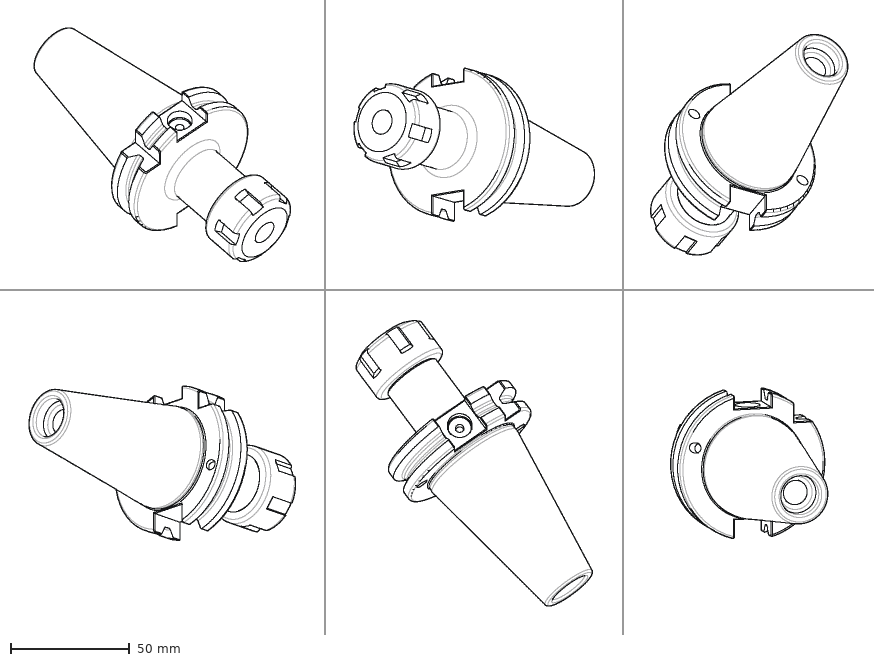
import cadquery as cq
import math


overall_length = 133.6
taper_length = 68.7
collar_start = 70.1
flange_start = 71.5
flange_end = 87.5
nut_start = 114.5

gauge_radius = 22.2
taper_slope = 7 / 48
small_end_radius = gauge_radius - taper_slope * taper_length
small_end_fillet = 1.0
collar_radius = 22.0
collar_fillet = 0.5
neck_radius = 12.5
neck_fillet = 3.0
neck_end_chamfer = 0.7

drill_cone_angle = math.radians(59)

bore_radius = 5.2
mouth_radius = 9.4
mouth_rounding = 1.0
counterbore_radius = mouth_radius - mouth_rounding
counterbore_depth = 5.3
throat_radius = 7.1

flange_radius = 31.8
flange_fillet = 1.0
flange_width = flange_end - flange_start
flange_middle = (flange_start + flange_end) / 2
slot_edge_chamfer = 0.4

groove_depth = 3.7
groove_top_half_width = 3.6
groove_flank_angle = math.radians(30)
groove_fillet = 1.2

slot_width = 16.2
top_slot_floor = 25.0
bottom_slot_floor = 22.5
notch_corner = 18.2

pocket_radius = 5.2
pocket_depth = 4.5
pocket_floor_chamfer = 0.4
screw_hole_radius = 1.7
screw_hole_depth = 4.0

coolant_hole_radius = 2.1
coolant_circle_radius = 27.0
coolant_position_angle = 20.0
coolant_tilt = 35.0
coolant_hole_depth = 6.7

nut_radius = 17.03
nut_back_fillet = 1.5
nut_front_fillet = 1.9
nut_cone_start = 131.2
nut_face_radius = 12.7
wrench_slot_count = 6
wrench_slot_first_angle = 20.5
wrench_slot_width = 5.9
wrench_slot_floor = 14.8
wrench_slot_start = 120.8
long_slot_index = 5
long_slot_start = 119.2


def revolve_about_x(profile):
    """Turn a closed profile, drawn as (x, radius), about the X axis."""
    return profile.close().revolve(360, (0, 0, 0), (1, 0, 0))


def make_shank():
    """The taper and the short collar that blends into the flange."""
    profile = (
        cq.Workplane("XZ")
        .moveTo(0, 0)
        .lineTo(0, small_end_radius)
        .lineTo(taper_length, gauge_radius)
        .lineTo(collar_start, collar_radius)
        .lineTo(flange_start - collar_fillet, collar_radius)
        .radiusArc((flange_start, collar_radius + collar_fillet), -collar_fillet)
        .lineTo(flange_start, 0)
    )
    return revolve_about_x(profile).faces("<X").edges().fillet(small_end_fillet)


def make_neck():
    profile = (
        cq.Workplane("XZ")
        .moveTo(flange_end, 0)
        .lineTo(flange_end, neck_radius + neck_fillet)
        .radiusArc((flange_end + neck_fillet, neck_radius), -neck_fillet)
        .lineTo(nut_start - neck_end_chamfer, neck_radius)
        .lineTo(nut_start, neck_radius - neck_end_chamfer)
        .lineTo(nut_start, 0)
    )
    return revolve_about_x(profile)


def flange_block(y_min, y_max, z_min, z_max):
    """A block as long as the flange, spanning the given Y and Z ranges."""
    return cq.Workplane("XY").box(
        flange_width, y_max - y_min, z_max - z_min, centered=False
    ).translate((flange_start, y_min, z_min))


def make_v_groove():
    floor_radius = flange_radius - groove_depth
    flank_run = groove_depth * math.tan(groove_flank_angle)
    floor_half_width = groove_top_half_width - flank_run
    ring = revolve_about_x(
        cq.Workplane("XZ")
        .moveTo(flange_middle - groove_top_half_width, flange_radius)
        .lineTo(flange_middle - floor_half_width, floor_radius)
        .lineTo(flange_middle + floor_half_width, floor_radius)
        .lineTo(flange_middle + groove_top_half_width, flange_radius)
    )
    mid_flank_half_width = (floor_half_width + groove_top_half_width) / 2
    floor_edges = cq.selectors.BoxSelector(
        (flange_middle - mid_flank_half_width, -flange_radius, -flange_radius),
        (flange_middle + mid_flank_half_width, flange_radius, flange_radius),
    )
    return ring.edges(floor_edges).fillet(groove_fillet)


def make_flange():
    disc = (
        cq.Workplane("YZ", origin=(flange_start, 0, 0))
        .circle(flange_radius)
        .extrude(flange_width)
        .faces("<X or >X")
        .edges()
        .fillet(flange_fillet)
    )
    half_slot = slot_width / 2
    disc = disc.cut(flange_block(-half_slot, half_slot, top_slot_floor, flange_radius))
    disc = disc.cut(flange_block(-half_slot, half_slot, -flange_radius, -bottom_slot_floor))
    disc = disc.cut(flange_block(-flange_radius, -notch_corner, notch_corner, flange_radius))
    disc = disc.faces("<X or >X").edges("%LINE").chamfer(slot_edge_chamfer)
    return disc.cut(make_v_groove())


def make_bore():
    """The rounded mouth and counterbore, narrowing over two cones to the through bore."""
    throat_start = counterbore_depth + counterbore_radius - throat_radius
    bore_start = throat_start + (throat_radius - bore_radius) / math.tan(drill_cone_angle)
    profile = (
        cq.Workplane("XZ")
        .moveTo(0, 0)
        .lineTo(0, mouth_radius)
        .radiusArc((mouth_rounding, counterbore_radius), -mouth_rounding)
        .lineTo(counterbore_depth, counterbore_radius)
        .lineTo(throat_start, throat_radius)
        .lineTo(bore_start, bore_radius)
        .lineTo(nut_start, bore_radius)
        .lineTo(nut_start, 0)
    )
    return revolve_about_x(profile)


def make_screw_pocket():
    """A round pocket with a chamfered floor and a blind drilled hole at its centre."""
    pocket_floor = top_slot_floor - pocket_depth
    pocket = (
        cq.Workplane("XY", origin=(flange_middle, 0, pocket_floor))
        .circle(pocket_radius)
        .extrude(pocket_depth)
        .faces("<Z")
        .edges()
        .chamfer(pocket_floor_chamfer)
    )
    cone_depth = screw_hole_radius / math.tan(drill_cone_angle)
    screw_hole = (
        cq.Workplane("XZ", origin=(flange_middle, 0, pocket_floor))
        .lineTo(screw_hole_radius, 0)
        .lineTo(screw_hole_radius, -screw_hole_depth)
        .lineTo(0, -screw_hole_depth - cone_depth)
        .close()
        .revolve(360, (0, 0, 0), (0, 1, 0))
    )
    return pocket.union(screw_hole)


def make_coolant_hole(position_angle):
    """A round hole that enters the rear face of the flange and leans toward the axis."""
    tilt = math.radians(coolant_tilt)
    lead_in = 2 * coolant_hole_radius
    direction = cq.Vector(math.cos(tilt), -math.sin(tilt), 0)
    entry = cq.Vector(flange_start, coolant_circle_radius, 0)
    hole = cq.Solid.makeCylinder(
        coolant_hole_radius, coolant_hole_depth + lead_in, entry - direction * lead_in, direction
    )
    return hole.rotate(cq.Vector(0, 0, 0), cq.Vector(1, 0, 0), position_angle)


def make_holder():
    flange = make_flange()
    for position_angle in (coolant_position_angle, coolant_position_angle + 180):
        flange = flange.cut(cq.Workplane(make_coolant_hole(position_angle)))
    holder = make_shank().union(flange).union(make_neck())
    return holder.cut(make_screw_pocket()).cut(make_bore())


def make_wrench_slot(angle, start):
    """A flat slot, open at the front, with a 45 degree run-out at its rear end.

    The angle is measured from -Y toward +Z.
    """
    slot_depth = nut_radius - wrench_slot_floor
    slot = (
        cq.Workplane("XY")
        .moveTo(start, -nut_radius)
        .lineTo(start + slot_depth, -wrench_slot_floor)
        .lineTo(overall_length, -wrench_slot_floor)
        .lineTo(overall_length, -nut_radius)
        .close()
        .extrude(wrench_slot_width / 2, both=True)
    )
    return slot.rotate((0, 0, 0), (1, 0, 0), -angle)


def make_nut():
    profile = (
        cq.Workplane("XZ")
        .moveTo(nut_start, bore_radius)
        .lineTo(nut_start, nut_radius)
        .lineTo(nut_cone_start, nut_radius)
        .lineTo(overall_length, nut_face_radius)
        .lineTo(overall_length, bore_radius)
    )
    nut = revolve_about_x(profile)
    nut = nut.edges(cq.selectors.RadiusNthSelector(-1)).edges("<X").fillet(nut_back_fillet)
    nut = nut.edges(cq.selectors.RadiusNthSelector(-1)).edges(">X").fillet(nut_front_fillet)
    for index in range(wrench_slot_count):
        angle = wrench_slot_first_angle + index * 360 / wrench_slot_count
        start = long_slot_start if index == long_slot_index else wrench_slot_start
        nut = nut.cut(make_wrench_slot(angle, start))
    return nut


holder = make_holder()
nut = make_nut()
result = cq.Compound.makeCompound([holder.val(), nut.val()])